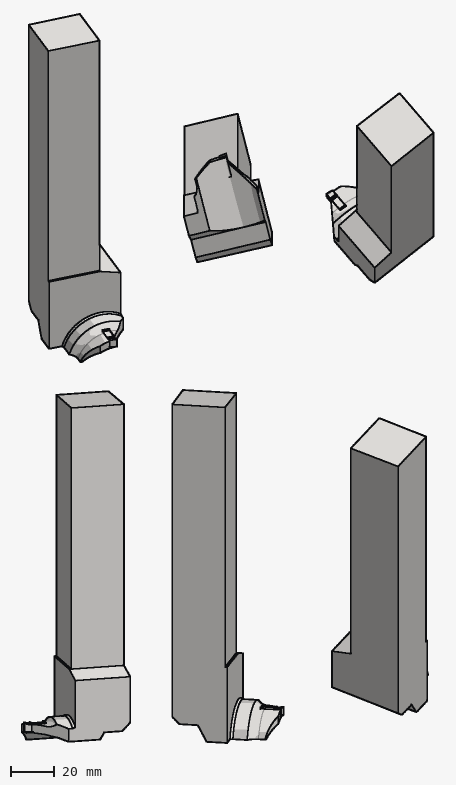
import cadquery as cq
import math

total_height = 158.5
shank_depth = 25.0
shank_right = 25.0
head_right = 26.0
head_depth = 35.0
head_shoulder_z = 35.8
head_back_z = 33.0
left_lean = 0.5
chamfer_size = 3.8
heel_z = 7.6
heel_x = 12.4
foot_x = 16.5

axis_y = 24.9
collar_top_z = 13.5
collar_radius = 18.9
axis_z = collar_top_z - collar_radius
neck_radius = 16.6
collar_fillet_end = 27.3
collar_fillet_rise = 0.5
collar_end = 34.0
neck_start = 38.5
support_end = 46.3
bevel_start_x = 41.7
bevel_end_y = 17.1
back_bevel_x = 29.2
back_bevel_end_x = 43.8

clearance_radius = 19.2
clearance_top_z = 7.3

insert_width = 3.3
insert_back_y = 25.0
insert_start = 37.0
insert_tip = 47.1
insert_top_z = 11.5
insert_bottom_z = 7.8
insert_land_z = 11.0
raised_end = 0.6
rake_start = 43.8
tip_side_relief = 0.5


def make_shank_and_head():
    """Upright bar with a wider head, chamfer and heel, and a leaning left side."""
    side = (
        cq.Workplane("YZ")
        .polyline([
            (0, 0), (head_depth, 0), (head_depth, head_back_z), (shank_depth, head_shoulder_z),
            (shank_depth, total_height), (0, total_height),
        ])
        .close().extrude(head_right)
    )
    front = (
        cq.Workplane("XZ")
        .polyline([
            (foot_x, 0), (head_right, 0), (head_right, head_shoulder_z), (shank_right, head_shoulder_z),
            (shank_right, total_height), (0, total_height), (0, heel_z + chamfer_size),
            (chamfer_size, heel_z), (heel_x, heel_z),
        ])
        .close().extrude(-head_depth)
    )
    lean_cut = (
        cq.Workplane("XY")
        .polyline([(0, 0), (left_lean, 0), (0, head_depth)])
        .close().extrude(total_height)
    )
    return side.intersect(front).cut(lean_cut)


def make_support():
    """Turned collar and neck, trimmed to the plan outline of the blade."""
    rise = collar_radius - neck_radius
    run = neck_start - collar_end
    neck_fillet = (run**2 + rise**2) / (2 * rise)
    half_angle = math.atan2(rise, run)
    neck_mid = (
        neck_start - neck_fillet * math.sin(half_angle),
        neck_radius + neck_fillet * (1 - math.cos(half_angle)),
    )
    turned = (
        cq.Workplane("XY")
        .moveTo(head_right, 0)
        .lineTo(head_right, collar_radius + collar_fillet_rise)
        .lineTo(collar_fillet_end, collar_radius)
        .lineTo(collar_end, collar_radius)
        .threePointArc(neck_mid, (neck_start, neck_radius))
        .lineTo(insert_tip, neck_radius)
        .lineTo(insert_tip, 0)
        .close()
        .revolve(360, (0, 0, 0), (1, 0, 0))
        .translate((0, axis_y, axis_z))
    )
    neck_front_y = axis_y - math.sqrt(neck_radius**2 - axis_z**2)
    plan = (
        cq.Workplane("XY")
        .polyline([
            (head_right, 0), (bevel_start_x, 0), (bevel_start_x, neck_front_y),
            (support_end, bevel_end_y), (support_end, insert_back_y), (back_bevel_end_x, insert_back_y),
            (back_bevel_x, head_depth), (head_right, head_depth),
        ])
        .close().extrude(head_shoulder_z)
    )
    return turned.intersect(plan)


def make_clearance():
    """Cylinder along X that hollows the underside of the holder."""
    return (
        cq.Workplane("YZ")
        .center(axis_y, clearance_top_z - clearance_radius)
        .circle(clearance_radius)
        .extrude(insert_tip)
    )


def make_insert():
    """Narrow blade with raised ends, a sloping rake face and a relieved tip."""
    blade = (
        cq.Workplane("XZ", origin=(0, insert_back_y, 0))
        .polyline([
            (insert_start, insert_bottom_z), (insert_tip, insert_bottom_z), (insert_tip, insert_top_z),
            (insert_tip - raised_end, insert_top_z), (rake_start + raised_end, insert_land_z),
            (rake_start, insert_top_z), (rake_start - raised_end, insert_land_z),
            (insert_start + raised_end, insert_land_z), (insert_start + raised_end, insert_top_z),
            (insert_start, insert_top_z),
        ])
        .close().extrude(insert_width)
    )
    tip_cut = (
        cq.Workplane("XY")
        .polyline([
            (insert_tip, insert_back_y), (insert_tip, insert_back_y - insert_width),
            (insert_tip - tip_side_relief, insert_back_y - insert_width),
        ])
        .close().extrude(insert_top_z)
    )
    return blade.cut(tip_cut)


def make_insert_seat():
    """Slot for the insert, open at the top and at the tip."""
    return (
        cq.Workplane("XY")
        .box(insert_tip - insert_start, insert_width, collar_top_z - insert_bottom_z, centered=False)
        .translate((insert_start, insert_back_y - insert_width, insert_bottom_z))
    )


holder = make_shank_and_head().union(make_support()).cut(make_clearance()).cut(make_insert_seat())
insert = make_insert()

result = cq.Compound.makeCompound([holder.solids().val(), insert.solids().val()])